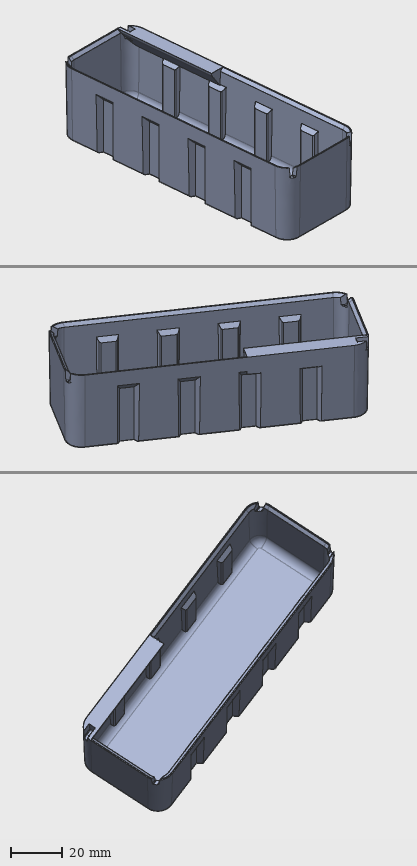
import cadquery as cq
import math

length = 122.0
width = 41.2
height = 33.7
corner_radius = 7.1
draft_angle = 0.9
wall = 1.8
floor_thickness = 1.3
floor_fillet = 3.8
bottom_edge_chamfer = 0.6

rim_land = 0.5
bevel_height = 1.3

rib_count = 4
rib_pitch = 24.4
recess_top = 27.2
recess_width = 9.0
recess_depth = 2.8
recess_side_inset = 1.6
recess_top_inset = 3.0

rib_skin = 1.0
rib_top = 26.5
rib_top_drop = 2.0
rib_side_inset = 0.9
rib_bevel_width = 0.6
rib_bevel_depth = 0.4

ledge_length = 50.0
ledge_width = 7.0
ledge_lip = 1.0
ledge_depth = 8.0
ledge_rounding = 2.5

notch_offset = 16.7
notch_top_width = 2.9
notch_bottom_width = 2.1
notch_depth = 4.8
notch_length = 5.4
notch_chamfer = 0.4

draft_slope = math.tan(math.radians(draft_angle))
half_length = length / 2
half_width = width / 2
wall_face = half_width - wall
recess_face = half_width - recess_depth
rib_face = recess_face - rib_skin
rib_centres = [(i - (rib_count - 1) / 2) * rib_pitch for i in range(rib_count)]


def rounded_section(z, inset):
    """Rounded rectangle at height z, inset from the outline of the rim."""
    section = (
        cq.Sketch()
        .rect(length - 2 * inset, width - 2 * inset)
        .vertices()
        .fillet(corner_radius - inset)
    )
    return section.moved(cq.Location(cq.Vector(0, 0, z)))


def rounded_loft(bottom, bottom_inset, top_inset):
    """Block from the given bottom height up to the rim, with its own inset at each end."""
    lower = rounded_section(bottom, bottom_inset)
    upper = rounded_section(height, top_inset)
    return cq.Workplane("XY").placeSketch(lower, upper).loft(ruled=True)


def drafted_block(bottom, inset):
    """Block that narrows downwards from the rim by the draft angle."""
    return rounded_loft(bottom, inset + (height - bottom) * draft_slope, inset)


def rectangle_in_xz(y, half, top):
    """Closed rectangle in the plane Y = y, standing on Z = 0."""
    corners = [(-half, 0), (half, 0), (half, top), (-half, top)]
    return cq.Wire.makePolygon([cq.Vector(x, y, z) for x, z in corners], close=True)


def make_recess():
    """Recess in the +Y wall with sloped sides and top, open at the underside."""
    mouth = rectangle_in_xz(half_width, recess_width / 2, recess_top)
    back = rectangle_in_xz(
        recess_face,
        recess_width / 2 - recess_side_inset,
        recess_top - recess_top_inset,
    )
    return cq.Workplane(cq.Solid.makeLoft([mouth, back], True))


def make_rib():
    """Rib on the +Y wall with bevelled upright edges and a sloped top."""
    root = half_width - wall / 2
    bottom = floor_thickness / 2
    half = recess_width / 2
    shoulder = half - rib_side_inset
    crest = shoulder - rib_bevel_width
    plan = [
        (half, root),
        (half, wall_face),
        (shoulder, rib_face + rib_bevel_depth),
        (crest, rib_face),
    ]
    mirrored_plan = [(-x, y) for x, y in reversed(plan)]
    column = (
        cq.Workplane("XY", origin=(0, 0, bottom))
        .polyline(plan + mirrored_plan)
        .close()
        .extrude(rib_top - bottom)
    )
    side = [
        (rib_face, bottom),
        (root, bottom),
        (root, rib_top),
        (wall_face, rib_top),
        (rib_face, rib_top - rib_top_drop),
    ]
    envelope = cq.Workplane("YZ").polyline(side).close().extrude(half, both=True)
    return column.intersect(envelope)


def on_both_long_walls(feature):
    """Copies of a +Y wall feature at every rib position on both long walls."""
    copies = []
    for x in rib_centres:
        copy = feature.translate((x, 0, 0))
        copies += [copy, copy.mirror("XZ")]
    return copies


def make_ledge(outer_block):
    """Flush ledge with a short rounded lip and an underside that slopes down to the wall."""
    front = half_width - ledge_width
    profile = [
        (front, height),
        (half_width, height),
        (half_width, height - ledge_depth),
        (wall_face, height - ledge_depth),
        (front, height - ledge_lip),
    ]
    bar = cq.Workplane("YZ", origin=(-half_length, 0, 0)).polyline(profile).close().extrude(ledge_length)
    lip_middle = (ledge_length / 2 - half_length, front, height - ledge_lip)
    lip_edge = cq.selectors.NearestToPointSelector(lip_middle)
    return bar.edges("|X").edges(lip_edge).fillet(ledge_rounding).intersect(outer_block)


def make_notch(y):
    """Tapered notch cutter at the -X end."""
    top_half = notch_top_width / 2
    bottom_half = notch_bottom_width / 2
    floor = height - notch_depth
    profile = [
        (y - top_half, height),
        (y - bottom_half, floor),
        (y + bottom_half, floor),
        (y + top_half, height),
    ]
    cutter = cq.Workplane("YZ", origin=(-half_length, 0, 0)).polyline(profile).close().extrude(notch_length)
    return cutter.faces("<Z").edges("|X").chamfer(notch_chamfer)


outer_block = drafted_block(0, 0)
cavity = drafted_block(floor_thickness, wall).faces("<Z").edges().fillet(floor_fillet)
rim_bevel = rounded_loft(height - bevel_height, wall, rim_land)
tray = outer_block.faces("<Z").chamfer(bottom_edge_chamfer).cut(cavity).cut(rim_bevel)

for rib in on_both_long_walls(make_rib()):
    tray = tray.union(rib)
for recess in on_both_long_walls(make_recess()):
    tray = tray.cut(recess)

tray = tray.union(make_ledge(outer_block))

for notch_y in (-notch_offset, notch_offset):
    notch = make_notch(notch_y)
    tray = tray.cut(notch).cut(notch.mirror("YZ"))

result = tray